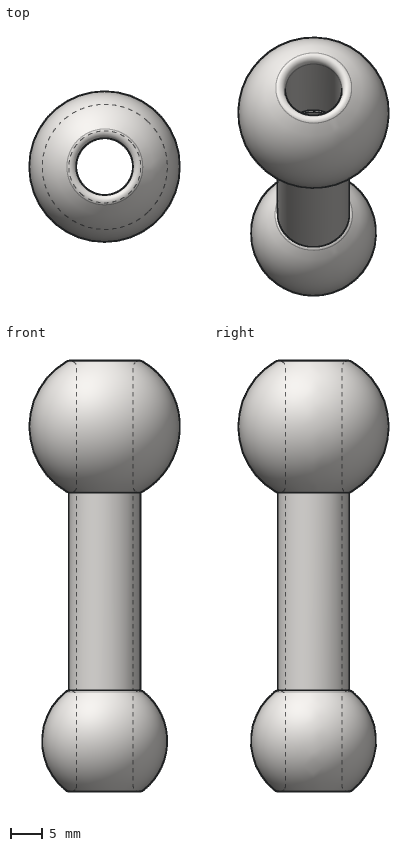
import cadquery as cq
import math

overall_length = 68.65
large_ball_diameter = 24.0
small_ball_diameter = 20.0
bore_diameter = 9.0
tube_diameter = 11.5
rim_radius = 1.0

bore_radius = bore_diameter / 2
rim_center_radius = bore_radius + rim_radius


def rim_center_height(ball_radius):
    """Height above the ball center of the center of the rim rounding, tangent to sphere and bore."""
    return math.sqrt((ball_radius - rim_radius) ** 2 - rim_center_radius ** 2)


def ball_half_height(ball_radius):
    """Height of the rim crest above the ball center."""
    return rim_center_height(ball_radius) + rim_radius


def make_ball(ball_radius, center_z):
    """Bored ball whose two hole rims are rounded tangent to the sphere."""
    rim_z = rim_center_height(ball_radius)

    tangent_scale = ball_radius / (ball_radius - rim_radius)
    tangent_radius = rim_center_radius * tangent_scale
    tangent_z = rim_z * tangent_scale

    sphere_angle = math.atan2(rim_z, rim_center_radius)
    middle_angle = (math.pi + sphere_angle) / 2
    middle_radius = rim_center_radius + rim_radius * math.cos(middle_angle)
    middle_rise = rim_z + rim_radius * math.sin(middle_angle)

    profile = (
        cq.Workplane("XZ")
        .moveTo(bore_radius, -rim_z)
        .lineTo(bore_radius, rim_z)
        .threePointArc((middle_radius, middle_rise), (tangent_radius, tangent_z))
        .threePointArc((ball_radius, 0), (tangent_radius, -tangent_z))
        .threePointArc((middle_radius, -middle_rise), (bore_radius, -rim_z))
        .close()
    )
    ball = profile.revolve(360, (0, 0, 0), (0, 1, 0))
    return ball.translate((0, 0, center_z))


def make_tube(bottom_z, top_z):
    """Straight tube standing between the facing rim crests, with the same bore as the balls."""
    return (
        cq.Workplane("XY", origin=(0, 0, bottom_z))
        .circle(tube_diameter / 2)
        .circle(bore_radius)
        .extrude(top_z - bottom_z)
    )


small_half_height = ball_half_height(small_ball_diameter / 2)
large_half_height = ball_half_height(large_ball_diameter / 2)

small_ball = make_ball(small_ball_diameter / 2, small_half_height)
large_ball = make_ball(large_ball_diameter / 2, overall_length - large_half_height)
tube = make_tube(2 * small_half_height, overall_length - 2 * large_half_height)

result = cq.Compound.makeCompound([small_ball.val(), large_ball.val(), tube.val()])